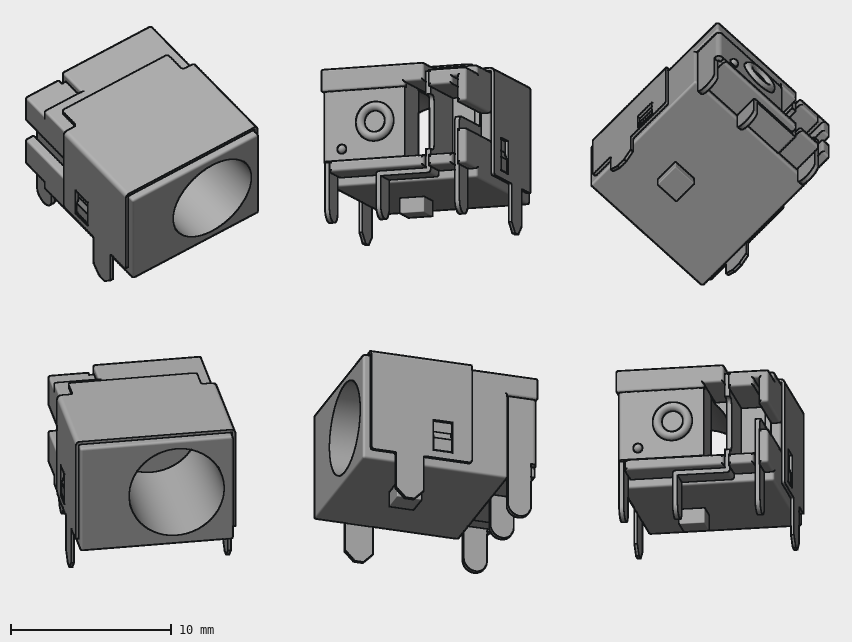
import cadquery as cq


LENGTH = 11.75
WIDTH = 10.1
HEIGHT = 9.8

SELECT_MARGIN = 0.01

SHELL_SHEET = 0.2
CONTACT_SHEET = 0.3

EDGE_RADIUS = 0.15
HOUSING_FRONT = 0.26
HOUSING_BOTTOM = 2.41
HOUSING_TOP = 9.53
HOUSING_SIDE = 4.83
STEP_X = 2.26
STEP_BOTTOM = 2.98
STEP_TOP = 9.04

AXIS_Y = 1.25
AXIS_Z = 6.0
BORE_DIAMETER = 6.0
BORE_END_X = 2.82

CHAMBER_END_X = 4.32
SIDE_CHAMBER_END_X = 4.7
CHAMBER_FLOOR = 3.68
CHAMBER_CEILING = 8.38
SIDE_CHAMBER_CEILING = 8.04
BLOCK_SIDE_Y = -0.73
CENTRE_SLOT_Y = -2.0
SIDE_SLOT_Y = -3.89
SIDE_SLOT_WIDTH = 0.33
SIDE_SLOT_TOP = 8.52
FRONT_RECESS_TOP = 8.1
CORNER_RECESS_Y = 4.27

WALL_SLOT_BOTTOM = 5.19
WALL_SLOT_TOP = 6.92
WALL_SLOT_END_X = 4.61

PEG_SIZE = 1.63
PEG_START_X = 6.96
PEG_BOTTOM = 1.43
PEG_RADIUS = 0.05
PAD_WIDTH = 1.03
PAD_START_X = 5.88
PAD_END_X = 9.4
PAD_RAMP = 0.47
LATCH_WIDTH = 1.18
LATCH_BOTTOM = 3.57
LATCH_RAMP_BOTTOM = 4.41
LATCH_TOP = 4.88
LATCH_DEPTH = 0.15

SHELL_START_X = 4.68
SHELL_END_X = 11.28
SHELL_BOTTOM = 3.01
SHELL_BEND = 0.29
SHELL_INSIDE_Y = WIDTH / 2 - SHELL_SHEET
SHELL_CORNER = 0.19
TAB_START_X = 3.1
TAB_HALF_WIDTH = 4.07
LEG_START_X = 7.85
LEG_END_X = 9.66
LEG_TIP_WIDTH = 0.59
LEG_TIP_HEIGHT = 0.61
LEG_ROOT_RADIUS = 0.12
WINDOW_WIDTH = 1.29
WINDOW_CENTRE_X = 6.58
WINDOW_BOTTOM = 3.5
WINDOW_TOP = 5.58

PIN_START_X = 0.68
PIN_WIDTH = 1.52
PIN_RADIUS = PIN_WIDTH / 2
PIN_END_X = PIN_START_X + PIN_WIDTH
PLATE_FRONT_X = 0.29
PLATE_OUTER_Y = 4.7
SIDE_BLADE_TOP = 6.07
CONTACT_CORNER = 0.3
SPRING_RECESS_X = 1.3
SPRING_RECESS_BOTTOM = 4.11
SPRING_RECESS_TOP = 7.58
FLANGE_BOTTOM = 2.61
CENTRE_PIN_Y = 1.3
BEND_RADIUS = 0.18

RING_OUTER_DIAMETER = 2.5
RING_TUBE_RADIUS = PLATE_FRONT_X
DIMPLE_Y = 3.43
DIMPLE_Z = 4.38
DIMPLE_RADIUS = 0.29


def block(x0, x1, y0, y1, z0, z1):
    """Box between two opposite corners."""
    return cq.Workplane("XY").box(x1 - x0, y1 - y0, z1 - z0, centered=False).translate((x0, y0, z0))


def upright_sheet(profile, y_low, thickness):
    """Closed XZ profile thickened towards +Y from y_low."""
    return profile.extrude(-thickness).translate((0, y_low, 0))


def edge_box(x0, x1, y0, y1, z0, z1):
    """Selector for edges centred inside the given box, widened by a small margin."""
    m = SELECT_MARGIN
    return cq.selectors.BoxSelector((x0 - m, y0 - m, z0 - m), (x1 + m, y1 + m, z1 + m))


def housing_outline():
    """Housing block with its stepped front corners and the chamber open at the front."""
    front = HOUSING_FRONT
    side = HOUSING_SIDE
    slot_low = CENTRE_SLOT_Y - CONTACT_SHEET
    side_slot_low = SIDE_SLOT_Y - SIDE_SLOT_WIDTH
    body = block(front, LENGTH, -side, side, HOUSING_BOTTOM, HOUSING_TOP)
    cuts = [
        (front, STEP_X, -side, side, HOUSING_BOTTOM, STEP_BOTTOM),
        (front, STEP_X, -side, CENTRE_SLOT_Y, STEP_TOP, HOUSING_TOP),
        (front, STEP_X, CORNER_RECESS_Y, side, STEP_BOTTOM, FRONT_RECESS_TOP),
        (front, PLATE_FRONT_X + CONTACT_SHEET, BLOCK_SIDE_Y, side, CHAMBER_FLOOR, FRONT_RECESS_TOP),
        (front, CHAMBER_END_X, CENTRE_SLOT_Y, BLOCK_SIDE_Y, CHAMBER_FLOOR, CHAMBER_CEILING),
        (front, SIDE_CHAMBER_END_X, SIDE_SLOT_Y, slot_low, CHAMBER_FLOOR, SIDE_CHAMBER_CEILING),
        (front, CHAMBER_END_X, slot_low, CENTRE_SLOT_Y, CHAMBER_FLOOR, STEP_TOP),
        (front, STEP_X, slot_low, CENTRE_SLOT_Y, STEP_BOTTOM, CHAMBER_FLOOR),
        (front, CHAMBER_END_X, side_slot_low, SIDE_SLOT_Y, CHAMBER_FLOOR, SIDE_SLOT_TOP),
        (front, STEP_X, side_slot_low, SIDE_SLOT_Y, STEP_BOTTOM, CHAMBER_FLOOR),
        (front, WALL_SLOT_END_X, -side, side_slot_low, WALL_SLOT_BOTTOM, WALL_SLOT_TOP),
    ]
    for limits in cuts:
        body = body.cut(block(*limits))
    lip_step = edge_box(front, CHAMBER_END_X, BLOCK_SIDE_Y, BLOCK_SIDE_Y,
                        FRONT_RECESS_TOP, FRONT_RECESS_TOP)
    return body.edges("|X").edges(lip_step).fillet(EDGE_RADIUS)


def round_housing(body):
    """Round the outer edges of the housing."""
    return body.faces("<X or >X or <Y or >Y or <Z or >Z").edges().fillet(EDGE_RADIUS)


def latch():
    """Ramped latch on the -Y side of the housing."""
    root = -HOUSING_SIDE
    tip = root - LATCH_DEPTH
    points = [(root, LATCH_BOTTOM), (tip, LATCH_BOTTOM), (tip, LATCH_RAMP_BOTTOM), (root, LATCH_TOP)]
    return (
        cq.Workplane("YZ").polyline(points).close().extrude(LATCH_WIDTH)
        .translate((WINDOW_CENTRE_X - LATCH_WIDTH / 2, 0, 0))
    )


def top_pad():
    """Ramped pad that carries the shell roof."""
    shell_underside = HEIGHT - SHELL_SHEET
    points = [
        (PAD_START_X, HOUSING_TOP),
        (PAD_START_X + PAD_RAMP, shell_underside),
        (PAD_END_X, shell_underside),
        (PAD_END_X, HOUSING_TOP),
    ]
    return upright_sheet(cq.Workplane("XZ").polyline(points).close(), -PAD_WIDTH / 2, PAD_WIDTH)


def peg():
    """Square locating peg under the housing."""
    half = PEG_SIZE / 2
    shape = block(PEG_START_X, PEG_START_X + PEG_SIZE, AXIS_Y - half, AXIS_Y + half,
                  PEG_BOTTOM, HOUSING_BOTTOM)
    return shape.edges("|Z or <Z").fillet(PEG_RADIUS)


def housing():
    """Moulded housing with its bore, latches on both sides, roof pad and peg."""
    bore = (
        cq.Workplane("YZ").center(AXIS_Y, AXIS_Z).circle(BORE_DIAMETER / 2)
        .extrude(LENGTH - BORE_END_X).translate((BORE_END_X, 0, 0))
    )
    body = round_housing(housing_outline()).cut(bore)
    return body.union(latch()).union(latch().mirror("XZ")).union(top_pad()).union(peg())


def solder_leg(y_low):
    """Tapered solder leg of one shell wall, lapped into the wall above it."""
    leg_centre = (LEG_START_X + LEG_END_X) / 2
    tip = LEG_TIP_WIDTH / 2
    profile = cq.Workplane("XZ").polyline([
        (LEG_START_X, SHELL_BOTTOM + SHELL_BEND),
        (LEG_START_X, LEG_TIP_HEIGHT),
        (leg_centre - tip, 0),
        (leg_centre + tip, 0),
        (LEG_END_X, LEG_TIP_HEIGHT),
        (LEG_END_X, SHELL_BOTTOM + SHELL_BEND),
    ]).close()
    return upright_sheet(profile, y_low, SHELL_SHEET)


def shell():
    """Sheet folded over the housing: roof, two side walls and two solder legs."""
    half = WIDTH / 2
    outer = block(SHELL_START_X, SHELL_END_X, -half, half, SHELL_BOTTOM, HEIGHT)
    outer = outer.edges("|X and >Z").fillet(SHELL_BEND)
    inner = block(SHELL_START_X, SHELL_END_X, -SHELL_INSIDE_Y, SHELL_INSIDE_Y,
                  SHELL_BOTTOM, HEIGHT - SHELL_SHEET)
    inner = inner.edges("|X and >Z").fillet(SHELL_BEND - SHELL_SHEET)
    body = outer.cut(inner)
    body = body.edges("|Y and <Z").fillet(SHELL_CORNER)
    tab = block(TAB_START_X, SHELL_START_X + SHELL_BEND, -TAB_HALF_WIDTH, TAB_HALF_WIDTH,
                HEIGHT - SHELL_SHEET, HEIGHT)
    body = body.union(tab.edges("|Z and <X").fillet(SHELL_CORNER))
    body = body.edges(edge_box(SHELL_START_X, SHELL_START_X, -half, half,
                               HEIGHT - SHELL_SHEET, HEIGHT)).edges("|Z").fillet(SHELL_CORNER)
    for y_low in (-half, SHELL_INSIDE_Y):
        body = body.union(solder_leg(y_low))
    body = body.edges(edge_box(LEG_START_X, LEG_END_X, -half, half,
                               SHELL_BOTTOM, SHELL_BOTTOM)).edges("|Y").fillet(LEG_ROOT_RADIUS)
    window = block(WINDOW_CENTRE_X - WINDOW_WIDTH / 2, WINDOW_CENTRE_X + WINDOW_WIDTH / 2,
                   -half, half, WINDOW_BOTTOM, WINDOW_TOP)
    return body.cut(window)


def pin(y_low, top):
    """Round-ended solder pin."""
    profile = (
        cq.Workplane("XZ").moveTo(PIN_START_X, top).lineTo(PIN_START_X, PIN_RADIUS)
        .threePointArc((PIN_START_X + PIN_RADIUS, 0), (PIN_END_X, PIN_RADIUS))
        .lineTo(PIN_END_X, top).close()
    )
    return upright_sheet(profile, y_low, CONTACT_SHEET)


def plate_contact():
    """Front plate folded back along +Y, with the rivet ring, dimple and pin."""
    plate = block(PLATE_FRONT_X, PIN_END_X, BLOCK_SIDE_Y, PLATE_OUTER_Y, CHAMBER_FLOOR, FRONT_RECESS_TOP)
    plate = plate.edges("|Z and <X and >Y").fillet(CONTACT_SHEET)
    inside = block(PLATE_FRONT_X + CONTACT_SHEET, PIN_END_X, BLOCK_SIDE_Y, PLATE_OUTER_Y - CONTACT_SHEET,
                   CHAMBER_FLOOR, FRONT_RECESS_TOP)
    ring_radius = RING_OUTER_DIAMETER / 2 - RING_TUBE_RADIUS
    ring = cq.Workplane(cq.Solid.makeTorus(
        ring_radius, RING_TUBE_RADIUS, cq.Vector(PLATE_FRONT_X, AXIS_Y, AXIS_Z), cq.Vector(1, 0, 0)))
    dimple = cq.Workplane("XY").sphere(DIMPLE_RADIUS).translate((PLATE_FRONT_X, DIMPLE_Y, DIMPLE_Z))
    body = plate.cut(inside).union(pin(PLATE_OUTER_Y - CONTACT_SHEET, FRONT_RECESS_TOP))
    return body.union(ring).union(dimple)


def centre_contact():
    """Spring contact between the chambers, joggled under the front lip to its pin."""
    low_y = CENTRE_SLOT_Y - CONTACT_SHEET
    spring = block(PIN_START_X, CHAMBER_END_X, low_y, CENTRE_SLOT_Y, CHAMBER_FLOOR, STEP_TOP)
    recess = block(PIN_START_X, SPRING_RECESS_X, low_y, CENTRE_SLOT_Y,
                   SPRING_RECESS_BOTTOM, SPRING_RECESS_TOP)
    spring = spring.cut(recess.edges("|Y and >X").fillet(CONTACT_CORNER))
    flange_top = FLANGE_BOTTOM + CONTACT_SHEET
    drop = block(PIN_START_X, PIN_END_X, low_y, CENTRE_SLOT_Y, FLANGE_BOTTOM, CHAMBER_FLOOR)
    flange = block(PIN_START_X, PIN_END_X, low_y, CENTRE_PIN_Y, FLANGE_BOTTOM, flange_top)
    foot = drop.union(flange).union(pin(CENTRE_PIN_Y - CONTACT_SHEET, flange_top))
    for y, z in ((low_y, FLANGE_BOTTOM), (CENTRE_PIN_Y, flange_top)):
        bend = edge_box(PIN_START_X, PIN_END_X, y, y, z, z)
        foot = foot.edges("|X").edges(bend).fillet(BEND_RADIUS)
    return spring.union(foot)


def side_contact():
    """Flat contact blade along the -Y wall."""
    low_y = SIDE_SLOT_Y - SIDE_SLOT_WIDTH
    blade = block(PIN_START_X, CHAMBER_END_X, low_y, low_y + CONTACT_SHEET, CHAMBER_FLOOR, SIDE_BLADE_TOP)
    blade = blade.edges("|Y and <X and >Z").fillet(CONTACT_CORNER)
    return blade.union(pin(low_y, CHAMBER_FLOOR))


result = housing().union(shell()).union(plate_contact()).union(centre_contact()).union(side_contact())